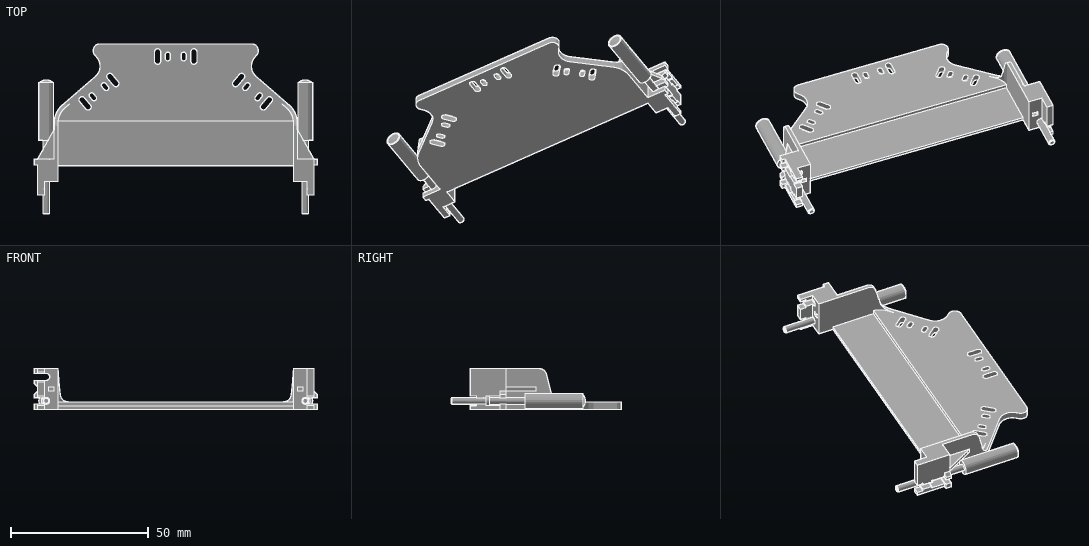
import cadquery as cq
import math


half_length = 51.5
height = 14.9
back_y = 55.0
rod_front_y = -6.9

plate_height = 2.8
ledge_height = 1.2
ledge_front_y = 10.6
ledge_back_y = 27.0

wall_outer_x = 44.1
wall_corner_y = 30.1
wall_corner_radius = 8.3
notch_corner = (25.5, 46.3)
notch_radius = 4.9
back_corner_x = 32.9
back_corner_radius = 2.5

wall_thickness = 1.4
wall_inner_x = wall_outer_x - wall_thickness
wall_top_back_y = 27.3
wall_lean = 14.0
wall_top_radius = 3.0
wall_foot_radius = 3.5

block_outer_x = 50.2
tongue_inner_x = 47.7
block_front_y = 4.9
block_back_y = 13.1
flange_front_y = 10.9
flange_overhang = half_length - block_outer_x

rib_bottom = 6.7
rib_top = 8.2
rib_back_y = 23.9
pocket_inner_x = 44.2
pocket_outer_x = 46.2
pocket_depth = 1.5

pin_x = 47.0
rod_diameter = 2.5
rod_chamfer = 0.3
collar_diameter = 3.5
collar_front_y = 5.9
collar_back_y = 7.0
handle_diameter = 5.5
handle_underside_z = 0.4
pin_z = handle_underside_z + handle_diameter / 2
handle_front_y = 19.9
handle_shoulder_y = 41.0
handle_end_y = 41.9
handle_end_radius = 2.4

pin_slot_width = 2.2
pin_slot_wide = collar_diameter
upper_slot_z = 11.8
upper_slot_width = 2.5
upper_slot_wide = 3.7
tongue_recess_depth = 2.3

long_slot = (5.6, 2.2)
long_slot_offset = 6.6
short_slot = (3.1, 1.7)
short_slot_offset = 2.9
back_row_center = (0, 50.3)
side_row_center = (27.9, 37.6)
side_row_angle = 40.0


def box(x0, x1, y0, y1, z0, z1):
    """Box between two opposite corners."""
    return cq.Workplane("XY").box(x1 - x0, y1 - y0, z1 - z0, centered=False).translate((x0, y0, z0))


def mirror_x(solid):
    return solid.mirror("YZ")


def outline_prism(thickness):
    """Plate outline, with its front at the block fronts, extruded up from Z = 0."""
    right_side = [
        (wall_outer_x, block_front_y),
        (wall_outer_x, wall_corner_y),
        notch_corner,
        (back_corner_x, back_y),
    ]
    left_side = [(-x, y) for x, y in reversed(right_side)]
    prism = cq.Workplane("XY").polyline(right_side + left_side).close().extrude(thickness)
    corner_radii = [
        ((wall_outer_x, wall_corner_y), wall_corner_radius),
        (notch_corner, notch_radius),
        ((back_corner_x, back_y), back_corner_radius),
    ]
    for (x, y), radius in corner_radii:
        for side in (-1, 1):
            corner = cq.selectors.NearestToPointSelector((side * x, y, thickness / 2))
            prism = prism.edges("|Z").edges(corner).fillet(radius)
    return prism


def slot_row(center, angle):
    """Row of two long and two short slots, each set across the row."""
    row = cq.Workplane("XY")
    for (length, width), offset in ((long_slot, long_slot_offset), (short_slot, short_slot_offset)):
        row = row.pushPoints([(-offset, 0), (offset, 0)]).slot2D(length, width, 90).extrude(plate_height)
    return row.rotate((0, 0, 0), (0, 0, 1), angle).translate((center[0], center[1], 0))


def base_plate():
    plate = outline_prism(plate_height)
    plate = plate.cut(slot_row(back_row_center, 0))
    side_row = slot_row(side_row_center, -side_row_angle)
    plate = plate.cut(side_row).cut(mirror_x(side_row))
    plate = plate.cut(box(-wall_inner_x, wall_inner_x, block_front_y, ledge_back_y, ledge_height, plate_height))
    return plate.cut(box(-wall_inner_x, wall_inner_x, block_front_y, ledge_front_y, 0, plate_height))


def side_walls():
    """Both walls: a band along the plate outline, trimmed to a leaning back end blended into the plate."""
    prism = outline_prism(height)
    inside = prism.faces("<Z").wires().toPending().offset2D(-wall_thickness).extrude(height, combine=False)
    open_front = box(-wall_inner_x, wall_inner_x, block_front_y, ledge_back_y - wall_thickness, 0, height)
    band = prism.cut(inside).cut(open_front)

    wall_foot_y = wall_top_back_y + (height - plate_height) * math.tan(math.radians(wall_lean))
    side_profile = [
        (block_front_y, 0),
        (block_front_y, height),
        (wall_top_back_y, height),
        (wall_foot_y, plate_height),
        (back_y, plate_height),
        (back_y, 0),
    ]
    trim = cq.Workplane("YZ").polyline(side_profile).close().extrude(half_length, both=True)
    for y, z, radius in (
        (wall_top_back_y, height, wall_top_radius),
        (wall_foot_y, plate_height, wall_foot_radius),
    ):
        corner = cq.selectors.NearestToPointSelector((0, y, z))
        trim = trim.edges("|X").edges(corner).fillet(radius)
    return band.intersect(trim)


def open_slot(z, width, y0, y1):
    """Round-ended slot along Y, centred on the pin and open toward +X."""
    radius = width / 2
    end = cq.Workplane("XZ").center(pin_x, z).circle(radius).extrude(y0 - y1).translate((0, y0, 0))
    return end.union(box(pin_x, half_length, y0, y1, z - radius, z + radius))


def stepped_slot(z, narrow, wide):
    """Slot through the block, widened behind the flange and at the tongue front."""
    slot = open_slot(z, narrow, 0, block_back_y)
    slot = slot.union(open_slot(z, wide, collar_front_y, flange_front_y))
    recess = box(tongue_inner_x, block_outer_x, 0, tongue_recess_depth, z - wide / 2, z + wide / 2)
    return slot.union(recess)


def end_block(flange_top):
    """Block at the +X end, with its tongue, flange, rib, pin slot and pocket."""
    block = box(wall_inner_x, block_outer_x, block_front_y, block_back_y, 0, height)
    block = block.union(box(tongue_inner_x, block_outer_x, 0, block_front_y, 0, height))

    flange = box(block_outer_x, half_length, flange_front_y, block_back_y, 0, flange_top)
    notch = (
        cq.Workplane("XZ", origin=(0, block_back_y, 0))
        .moveTo(block_outer_x, rib_bottom)
        .lineTo(block_outer_x, rib_top)
        .lineTo(half_length, rib_top + flange_overhang)
        .lineTo(half_length, rib_bottom - flange_overhang)
        .close()
        .extrude(block_back_y - flange_front_y)
    )
    block = block.union(flange.cut(notch))

    rib = (
        cq.Workplane("XY", origin=(0, 0, rib_bottom))
        .moveTo(wall_outer_x, block_back_y)
        .lineTo(block_outer_x, block_back_y)
        .lineTo(wall_outer_x, rib_back_y)
        .close()
        .extrude(rib_top - rib_bottom)
    )
    block = block.union(rib)

    block = block.cut(stepped_slot(pin_z, pin_slot_width, pin_slot_wide))
    pocket_back_y = block_front_y + pocket_depth
    return block.cut(box(pocket_inner_x, pocket_outer_x, block_front_y, pocket_back_y, rib_bottom, rib_top))


def guide_pin():
    """Pin at the +X end: rod, collar and domed handle, turned about an axis along Y."""
    rod_radius = rod_diameter / 2
    collar_radius = collar_diameter / 2
    handle_radius = handle_diameter / 2
    dome_height = handle_end_y - handle_shoulder_y
    dome_radius = (handle_end_radius**2 + dome_height**2) / (2 * dome_height)
    half_angle = math.asin(handle_end_radius / dome_radius) / 2
    dome_middle = (
        dome_radius * math.sin(half_angle),
        handle_end_y - dome_radius * (1 - math.cos(half_angle)),
    )
    profile = (
        cq.Workplane("XY")
        .moveTo(0, rod_front_y)
        .lineTo(rod_radius - rod_chamfer, rod_front_y)
        .lineTo(rod_radius, rod_front_y + rod_chamfer)
        .lineTo(rod_radius, collar_front_y)
        .lineTo(collar_radius, collar_front_y)
        .lineTo(collar_radius, collar_back_y)
        .lineTo(rod_radius, collar_back_y)
        .lineTo(rod_radius, handle_front_y)
        .lineTo(handle_radius, handle_front_y)
        .lineTo(handle_radius, handle_shoulder_y)
        .lineTo(handle_end_radius, handle_shoulder_y)
        .threePointArc(dome_middle, (0, handle_end_y))
        .close()
    )
    return profile.revolve(360, (0, 0, 0), (0, 1, 0)).translate((pin_x, 0, pin_z))


right_block = end_block(flange_top=rib_bottom)
left_block = mirror_x(
    end_block(flange_top=height).cut(stepped_slot(upper_slot_z, upper_slot_width, upper_slot_wide))
)

result = base_plate().union(side_walls()).union(left_block).union(right_block)
result = result.union(guide_pin()).union(mirror_x(guide_pin()))